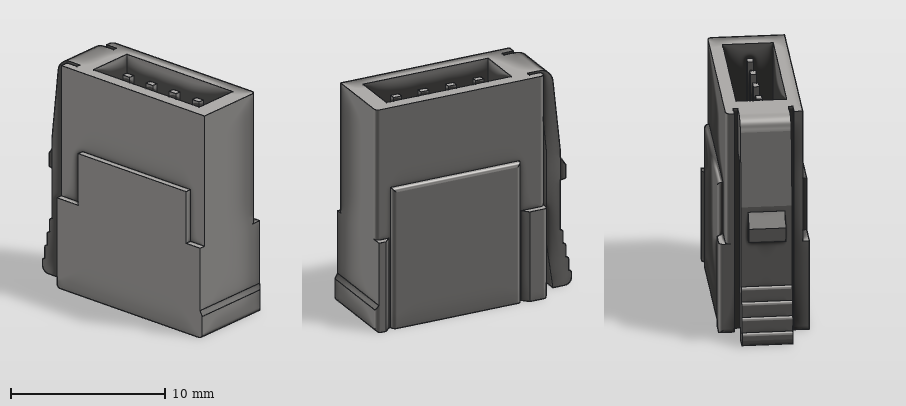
import cadquery as cq
import math


height = 15.6
core_width = 12.32
core_half_depth = 2.51
outer_half_depth = 2.95
corner_radius = 0.3

ridge_reach = 0.19
ridge_shoulder_z = 1.58
ridge_top_z = 1.93
base_width = core_width + ridge_reach

shoulder_z = 6.36
plate_top_z = 10.03
plate_left = 1.83
plate_right = 11.12
left_foot_end = 1.75
right_foot_start = 11.37
foot_thickness = outer_half_depth - core_half_depth
rear_pad_left = 1.87
rear_pad_right = 11.26
rear_pad_top_z = 9.94
rear_pad_thickness = 0.35

socket_left = 2.0
socket_right = 11.12
socket_half_depth = 1.65
socket_floor_z = shoulder_z
pin_count = 4
pin_pitch = 2.0
pin_width = 0.6
pin_depth = 0.4
pin_tip_z = 15.12

channel_depth = 0.85
channel_half_width = 1.95

lever_half_width = 1.65
root_radius = 1.05
root_bottom_z = 12.51
root_fillet = 0.3
lean = math.radians(6.1)
outer_bend_z = 9.61
lever_thickness = 1.03
inner_kick_z = 3.28
toe_inner_x = -1.03
toe_radius = 0.5
grip_count = 4
grip_top_z = 4.0
grip_pitch = 1.0
grip_step = 0.2

tooth_half_width = 1.2
tooth_reach = 0.62
tooth_top_z = 9.27
tooth_crest_z = 8.33
tooth_corner_z = 7.36
tooth_bottom_z = 7.29
tooth_fillet = 0.1


def box(x_range, y_range, z_range):
    """Block spanning the given ranges."""
    lows, highs = zip(x_range, y_range, z_range)
    sizes = [high - low for low, high in zip(lows, highs)]
    return cq.Workplane("XY").box(*sizes, centered=False).translate(lows)


def extrude_about_mid_plane(profile, half_width):
    """Extrude an XZ profile equally to both sides of Y = 0."""
    return profile.extrude(half_width, both=True)


def make_core():
    core = box((0, core_width), (-core_half_depth, core_half_depth), (0, height))
    return core.edges("|Z and >Y").fillet(corner_radius)


def make_foot(tip_x, end_x):
    """Rear foot with a rounded outer corner and a 45 degree inner flank."""
    outward = math.copysign(1, tip_x - end_x)
    outline = [
        (tip_x, 0),
        (tip_x, outer_half_depth),
        (end_x + outward * foot_thickness, outer_half_depth),
        (end_x, core_half_depth),
        (end_x, 0),
    ]
    foot = cq.Workplane("XY").polyline(outline).close().extrude(shoulder_z)
    corner = "<X" if outward < 0 else ">X"
    return foot.edges("|Z and >Y").edges(corner).fillet(corner_radius)


def make_rear_pad():
    pad_back = core_half_depth + rear_pad_thickness
    pad = box((rear_pad_left, rear_pad_right), (0, pad_back), (0, rear_pad_top_z))
    return pad.faces(">Y").edges("not <Z").fillet(corner_radius)


def make_front_plate():
    base = box((0, base_width), (-outer_half_depth, 0), (0, shoulder_z))
    tongue = box((plate_left, plate_right), (-outer_half_depth, 0), (0, plate_top_z))
    return base.union(tongue)


def make_envelope():
    """Side limits of the housing: rounded base corners and the stop ridge."""
    profile = (
        cq.Workplane("XZ")
        .moveTo(0, 0)
        .lineTo(base_width, 0)
        .lineTo(base_width, ridge_shoulder_z)
        .lineTo(core_width, ridge_top_z)
        .lineTo(core_width, height)
        .lineTo(0, height)
        .close()
    )
    envelope = extrude_about_mid_plane(profile, outer_half_depth)
    return envelope.edges("|Y and <Z").fillet(corner_radius)


def make_housing():
    housing = make_core().union(make_front_plate()).union(make_rear_pad())
    housing = housing.union(make_foot(0, left_foot_end))
    housing = housing.union(make_foot(base_width, right_foot_start))
    housing = housing.intersect(make_envelope())
    channel = box((0, channel_depth), (-channel_half_width, channel_half_width), (0, height))
    socket = box(
        (socket_left, socket_right),
        (-socket_half_depth, socket_half_depth),
        (socket_floor_z, height),
    )
    return housing.cut(channel).cut(socket)


def make_pins():
    middle_x = (socket_left + socket_right) / 2
    return (
        cq.Workplane("XY", origin=(middle_x, 0, socket_floor_z))
        .rarray(pin_pitch, 0.15, pin_count, 1)
        .rect(pin_width, pin_depth)
        .extrude(pin_tip_z - socket_floor_z)
    )


def leaning_point(radius, center_z, angle=lean):
    """Point on a circle centred on X = 0 where the tangent leans by the given angle."""
    return (-radius * math.cos(angle), center_z + radius * math.sin(angle))


root_center_z = height - root_radius
root_end_x, root_end_z = leaning_point(root_radius, root_center_z)
shank_x = root_end_x - (root_end_z - outer_bend_z) * math.tan(lean)


def make_lever():
    mid_arc_angle = (math.pi / 2 + lean) / 2
    inner_center_z = root_bottom_z - root_fillet
    inner_end_x, inner_end_z = leaning_point(root_fillet, inner_center_z)
    inner_x = shank_x + lever_thickness
    inner_bend_z = inner_end_z - (inner_end_x - inner_x) / math.tan(lean)

    profile = (
        cq.Workplane("XZ")
        .moveTo(channel_depth, height)
        .lineTo(0, height)
        .threePointArc(
            leaning_point(root_radius, root_center_z, mid_arc_angle),
            (root_end_x, root_end_z),
        )
        .lineTo(shank_x, outer_bend_z)
    )
    diagonal = grip_step * math.sqrt(0.5)
    for index in range(grip_count):
        step_x = shank_x - index * grip_step
        step_z = grip_top_z - index * grip_pitch
        profile = profile.lineTo(step_x, step_z).threePointArc(
            (step_x - diagonal, step_z - grip_step + diagonal),
            (step_x - grip_step, step_z - grip_step),
        )
    toe_x = shank_x - grip_count * grip_step
    toe_diagonal = toe_radius * (1 - math.sqrt(0.5))
    profile = (
        profile.lineTo(toe_x, toe_radius)
        .threePointArc((toe_x + toe_diagonal, toe_diagonal), (toe_x + toe_radius, 0))
        .lineTo(toe_inner_x, 0)
        .lineTo(inner_x, inner_kick_z)
        .lineTo(inner_x, inner_bend_z)
        .lineTo(inner_end_x, inner_end_z)
        .threePointArc(
            leaning_point(root_fillet, inner_center_z, mid_arc_angle),
            (0, root_bottom_z),
        )
        .lineTo(channel_depth, root_bottom_z)
        .close()
    )
    return extrude_about_mid_plane(profile, lever_half_width)


def make_tooth():
    crest_x = shank_x - tooth_reach
    root_x = shank_x + tooth_reach
    outline = [
        (root_x, tooth_top_z),
        (shank_x, tooth_top_z),
        (crest_x, tooth_crest_z),
        (crest_x, tooth_corner_z),
        (shank_x, tooth_bottom_z),
        (root_x, tooth_bottom_z),
    ]
    profile = cq.Workplane("XZ").polyline(outline).close()
    tooth = extrude_about_mid_plane(profile, tooth_half_width)
    return tooth.edges("|Y and <X").edges("<Z").fillet(tooth_fillet)


result = make_housing().union(make_pins()).union(make_lever()).union(make_tooth())